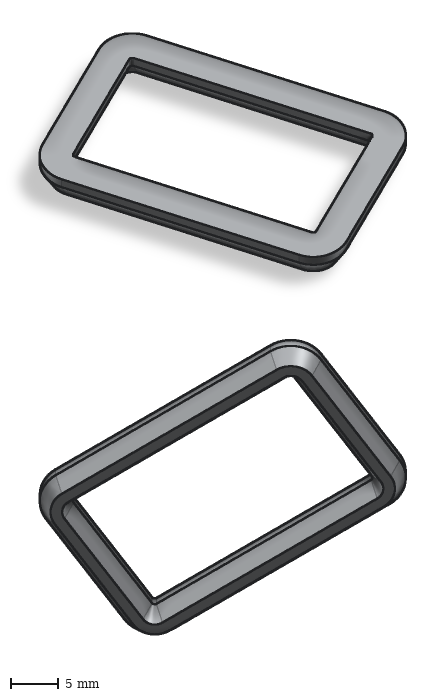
import cadquery as cq

length = 35.2
width = 22.7
height = 3.5
outer_radius = 3.87
rim_width = 3.55

band_height = 1.23
taper_inset = 1.15
taper_height = height - band_height


def outline(inset):
    """Rounded rectangle at a constant distance inside the outer outline."""
    return cq.Sketch().rect(length - 2 * inset, width - 2 * inset).vertices().fillet(outer_radius - inset)


def stepped_block(bottom_inset, top_inset):
    """Block that blends from its bottom outline to a straight band of the top outline."""
    top_outline = outline(top_inset)
    taper = (
        cq.Workplane("XY")
        .placeSketch(outline(bottom_inset), top_outline.moved(cq.Location(cq.Vector(0, 0, taper_height))))
        .loft(ruled=True)
    )
    band = cq.Workplane("XY", origin=(0, 0, taper_height)).placeSketch(top_outline).extrude(band_height)
    return taper.union(band)


body = stepped_block(taper_inset, 0)
opening = stepped_block(rim_width - taper_inset, rim_width)
result = body.cut(opening)